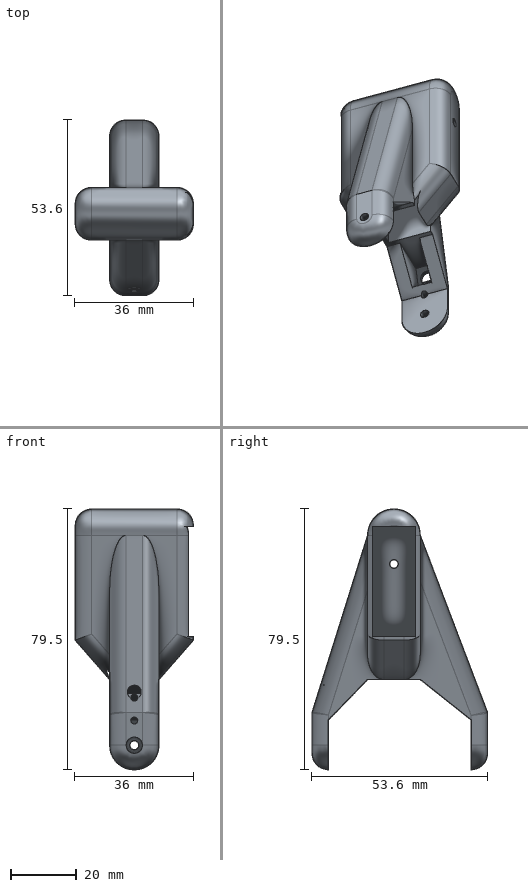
import cadquery as cq

total_height = 79.5
edge_radius = 5.0

body_width = 36.0
body_depth = 16.05
body_bottom = 27.5
taper_start = 39.5
round_start = total_height - body_depth / 2

arm_width = 15.0
front_reach = 25.0
back_reach = 28.55
plate_thickness = 5.0
arm_bend = 17.5
gusset_bottom = 15.2
pivot_height = arm_width / 2

cavity_depth = 13.0
cavity_floor = 40.6
cavity_ceiling = 74.1
cavity_left_wall = 5.6
chute_left = arm_width / 2
chute_right = 6.35
side_hole_diameter = 2.55
side_hole_height = 62.7

hollow_width = 6.35
hollow_skin = 1.0
hollow_floor = 17.5

pivot_hole_diameter = 2.7
pivot_recess_diameter = 4.9
pivot_recess_depth = 3.2
cord_hole_diameter = 2.1
cord_hole_heights = (15.0, 22.0)
bore_diameter = 4.2
bore_height = 23.7
bore_reach = 23.1


def extrude_along_x(points, width):
    return cq.Workplane("YZ").polyline(points).close().extrude(width / 2, both=True)


def extrude_along_y(points, depth):
    return cq.Workplane("XZ").polyline(points).close().extrude(depth / 2, both=True)


def cylinder_along_y(diameter, height, start, end):
    plane = cq.Workplane("XZ", origin=(0, start, height))
    return plane.circle(diameter / 2).extrude(start - end)


def make_body():
    half_width = body_width / 2
    half_depth = body_depth / 2
    block = (
        cq.Workplane("YZ")
        .moveTo(-half_depth, body_bottom)
        .lineTo(-half_depth, round_start)
        .threePointArc((0, total_height), (half_depth, round_start))
        .lineTo(half_depth, body_bottom)
        .close()
        .extrude(half_width, both=True)
    )
    outline = [
        (-half_width, total_height),
        (-half_width, taper_start),
        (-arm_width / 2, body_bottom),
        (arm_width / 2, body_bottom),
        (half_width, taper_start),
        (half_width, total_height),
    ]
    block = block.intersect(extrude_along_y(outline, body_depth))

    return block.edges("not (|X or |Y)").fillet(edge_radius)


def make_arms():
    outline = [
        (-front_reach, 0),
        (-front_reach, arm_bend),
        (-body_depth / 2, round_start),
        (body_depth / 2, round_start),
        (back_reach, arm_bend),
        (back_reach, 0),
    ]
    legs = extrude_along_x(outline, arm_width)
    leg_front = (
        cq.Workplane("XZ")
        .moveTo(-arm_width / 2, total_height)
        .lineTo(-arm_width / 2, pivot_height)
        .threePointArc((0, 0), (arm_width / 2, pivot_height))
        .lineTo(arm_width / 2, total_height)
        .close()
        .extrude(front_reach + back_reach, both=True)
    )
    legs = legs.intersect(leg_front)
    return legs.edges("not (|X or |Y)").fillet(edge_radius)


def make_gap():
    front_inside = -front_reach + plate_thickness
    back_inside = back_reach - plate_thickness
    below = -plate_thickness
    outline = [
        (front_inside, below),
        (front_inside, gusset_bottom),
        (-body_depth / 2, body_bottom),
        (body_depth / 2, body_bottom),
        (back_inside, gusset_bottom),
        (back_inside, below),
    ]
    return extrude_along_x(outline, body_width)


def make_cavity():
    left = -body_width / 2 + cavity_left_wall
    right = body_width / 2
    outline = [
        (left, cavity_ceiling),
        (left, cavity_floor),
        (-chute_left, body_bottom),
        (chute_right, body_bottom),
        (chute_right, cavity_floor),
        (right, cavity_floor),
        (right, cavity_ceiling),
    ]
    return extrude_along_y(outline, cavity_depth)


def make_hollow():
    front_slope = (front_reach - body_depth / 2) / (round_start - arm_bend)
    front_at_floor = -front_reach + front_slope * (hollow_floor - arm_bend) + hollow_skin
    front_at_ceiling = front_at_floor + front_slope * (body_bottom - hollow_floor)
    outline = [
        (front_at_floor, hollow_floor),
        (front_at_ceiling, body_bottom),
        (-body_depth / 2, body_bottom),
        (-body_depth / 2, hollow_floor),
    ]
    return extrude_along_x(outline, hollow_width)


def make_side_hole():
    plane = cq.Workplane("YZ", origin=(-body_width / 2, 0, side_hole_height))
    return plane.circle(side_hole_diameter / 2).extrude(body_width / 2)


def drill_arms(part):
    part = part.cut(cylinder_along_y(pivot_hole_diameter, pivot_height, -front_reach, back_reach))
    recess_end = -front_reach + pivot_recess_depth
    part = part.cut(cylinder_along_y(pivot_recess_diameter, pivot_height, -front_reach, recess_end))
    for height in cord_hole_heights:
        part = part.cut(cylinder_along_y(cord_hole_diameter, height, -front_reach, 0))
    return part.cut(cylinder_along_y(bore_diameter, bore_height, -bore_reach, 0))


result = make_body().union(make_arms().cut(make_gap()))
result = result.cut(make_cavity()).cut(make_side_hole()).cut(make_hollow())
result = drill_arms(result)